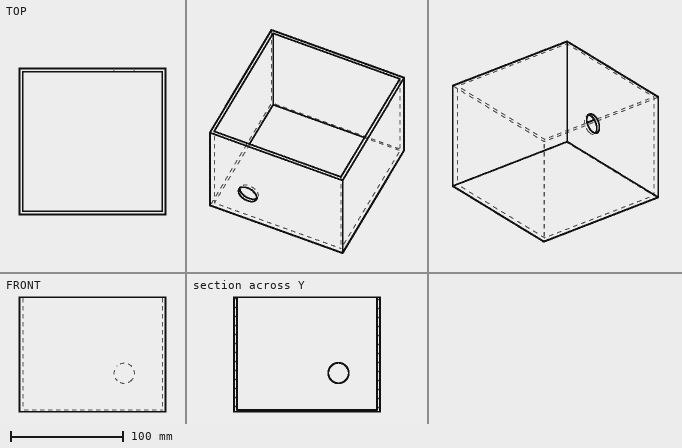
import cadquery as cq

side = 130.0
height = 102.0
wall = 3.0
floor_thickness = 2.0
hole_diameter = 18.0
hole_x = 28.0
hole_z = 34.6

inner_side = side - 2 * wall


def square_block(width, bottom, top):
    """Square block centred on the Z axis between two heights."""
    return cq.Workplane("XY").workplane(offset=bottom).rect(width, width).extrude(top - bottom)


def wall_hole():
    """Round cutter running inward through the +Y wall only."""
    return (
        cq.Workplane("XZ", origin=(hole_x, side / 2, hole_z))
        .circle(hole_diameter / 2)
        .extrude(2 * wall)
    )


box = square_block(side, 0, height).cut(square_block(inner_side, floor_thickness, height))

result = box.cut(wall_hole())